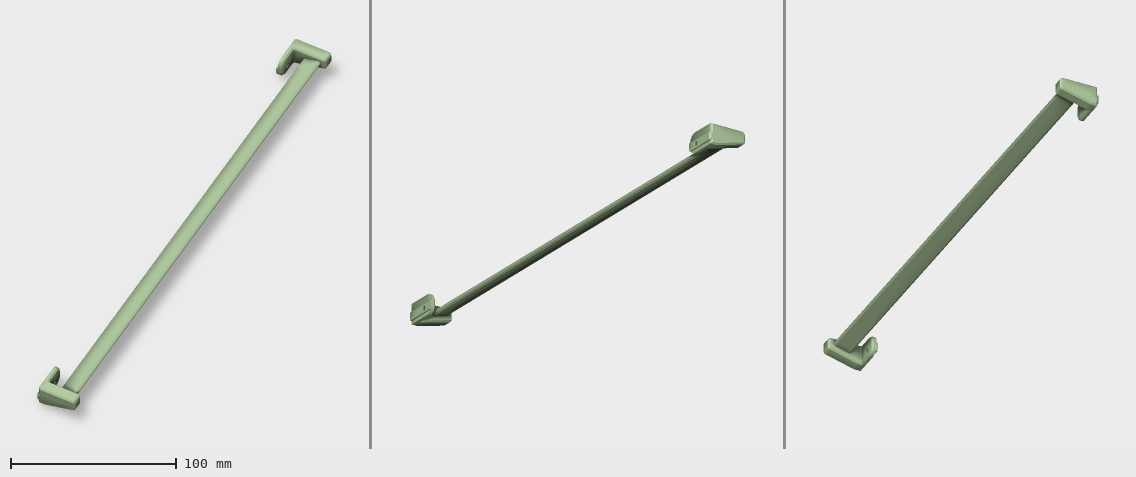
import cadquery as cq
import math

LENGTH = 324.0
WIDTH = 26.0
HEIGHT = 13.5
X_LEFT = -WIDTH / 2
X_RIGHT = WIDTH / 2
Z_TOP = HEIGHT / 2
Z_BOTTOM = -HEIGHT / 2

TILT = 15.0
EDGE_CHAMFER = 1.0

ARM_THICKNESS = 8.0
ARM_END_HEIGHT = 8.0
ARM_END_RADIUS = 2.0
WALL_LENGTH = 23.0
WALL_THICKNESS = 4.0
WALL_END_RADIUS = 5.2
INNER_CORNER_RADIUS = 1.3
PAD_HEIGHT = 5.5
PAD_THICKNESS = 1.0
PAD_BELOW_TOP = 5.8
HOLE_DIAMETER = 3.2
HOLE_FROM_END = 15.5

BAR_WIDTH = 12.0
BAR_THICKNESS = 3.0
BAR_X = 3.5
BAR_Z = 1.45

Y_OUTER = -LENGTH / 2
Y_ARM_INNER = Y_OUTER + ARM_THICKNESS
X_WALL_INNER = X_LEFT + WALL_THICKNESS
TOLERANCE = 0.03


def bracket_profile():
    """Side outline in XZ: level top, sloping underside, raised pad on the left."""
    x_face = X_LEFT + PAD_THICKNESS
    z_pad_top = Z_TOP - PAD_BELOW_TOP
    z_pad_bottom = z_pad_top - PAD_HEIGHT
    z_end = Z_TOP - ARM_END_HEIGHT
    x_slope = X_RIGHT - (z_end - Z_BOTTOM) / math.tan(math.radians(TILT))
    return cq.Workplane("XZ", origin=(0, Y_OUTER, 0)).polyline(
        [
            (x_face, Z_TOP),
            (X_RIGHT, Z_TOP),
            (X_RIGHT, z_end),
            (x_slope, Z_BOTTOM),
            (x_face, Z_BOTTOM),
            (x_face, z_pad_bottom),
            (X_LEFT, z_pad_bottom),
            (X_LEFT, z_pad_top),
            (x_face, z_pad_top),
        ]
    ).close()


def make_arm():
    """Arm with a rounded free end and a chamfer around its inner side."""
    return (
        bracket_profile()
        .extrude(-ARM_THICKNESS)
        .edges("|Y and >X")
        .fillet(ARM_END_RADIUS)
        .faces(">Y")
        .edges()
        .chamfer(EDGE_CHAMFER)
    )


def make_wall():
    """Wall with a rounded free end and a chamfer around its inner side."""
    envelope = (
        cq.Workplane("XY")
        .box(WALL_THICKNESS, WALL_LENGTH, HEIGHT, centered=False)
        .translate((X_LEFT, Y_OUTER, Z_BOTTOM))
        .edges("|X and >Y")
        .fillet(WALL_END_RADIUS)
    )
    wall = bracket_profile().extrude(-WALL_LENGTH).intersect(envelope)
    return wall.faces(">X").edges("not <Y").chamfer(EDGE_CHAMFER)


def make_bracket(end):
    """Bracket with a hole through its wall, at the -Y end (end = -1) or mirrored to the +Y end (end = 1)."""
    reach = EDGE_CHAMFER + TOLERANCE
    inner_corner = cq.selectors.BoxSelector(
        (X_WALL_INNER - reach, Y_ARM_INNER - reach, Z_BOTTOM - TOLERANCE),
        (X_WALL_INNER + TOLERANCE, Y_ARM_INNER + TOLERANCE, Z_TOP + TOLERANCE),
        boundingbox=True,
    )
    bracket = make_arm().union(make_wall()).edges(inner_corner).fillet(INNER_CORNER_RADIUS)
    bracket = bracket.faces("<Y").edges().chamfer(EDGE_CHAMFER)
    z_hole = Z_TOP - PAD_BELOW_TOP - PAD_HEIGHT / 2
    hole = (
        cq.Workplane("YZ", origin=(X_LEFT, 0, 0))
        .center(Y_OUTER + HOLE_FROM_END, z_hole)
        .circle(HOLE_DIAMETER / 2)
        .extrude(WALL_THICKNESS)
    )
    bracket = bracket.cut(hole)
    return bracket.mirror("XZ") if end > 0 else bracket


def make_bar():
    """Tilted strip that spans between the inner faces of the two arms."""
    return (
        cq.Workplane("XY")
        .box(BAR_WIDTH, LENGTH - 2 * ARM_THICKNESS, BAR_THICKNESS)
        .edges("|Y")
        .chamfer(EDGE_CHAMFER)
        .rotate((0, 0, 0), (0, 1, 0), -TILT)
        .translate((BAR_X, 0, BAR_Z))
    )


bar = make_bar()
brackets = [make_bracket(end).solids().val() for end in (-1, 1)]
result = cq.Compound.makeCompound([bar.solids().val(), *brackets])